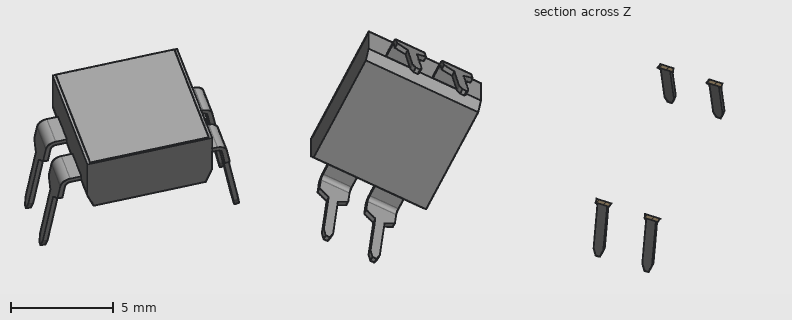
import cadquery as cq
import math


overall_length = 10.09
overall_height = 7.18

body_width = 6.12
body_length = 6.33
body_height = 3.09
taper_height = 0.83
taper_inset = 0.31

top_thickness = 0.06
top_inset_x = 0.04
top_inset_y = 0.15

lead_thickness = 0.25
lead_pitch = 2.54
lead_row_offset = -0.05
lead_drop = 2.03
lead_embed = 0.3
splay_deg = 9.8
bend_radius = 2 * lead_thickness

shoulder_width = 1.56
pin_width = 0.5
tip_width = 0.22

shoulder_end = 0.82
pin_start = 1.24
tip_taper = 0.47

splay = math.radians(splay_deg)
lead_top = body_height + top_thickness - lead_drop
tip_bottom = body_height + top_thickness - overall_height
leg_top_z = lead_top - bend_radius * (1 - math.sin(splay))
leg_height = leg_top_z - tip_bottom
leg_length = (leg_height - lead_thickness * math.sin(splay)) / math.cos(splay)
leg_top_y = -overall_length / 2 + leg_length * math.sin(splay)
bend_centre_y = leg_top_y + bend_radius * math.cos(splay)
bend_centre_z = lead_top - bend_radius


def make_body():
    half_length = body_length / 2
    base_half_length = half_length - taper_inset
    body = (
        cq.Workplane("YZ")
        .polyline([
            (-base_half_length, 0),
            (base_half_length, 0),
            (half_length, taper_height),
            (half_length, body_height),
            (-half_length, body_height),
            (-half_length, taper_height),
        ])
        .close()
        .extrude(body_width / 2, both=True)
    )
    raised_top = (
        cq.Workplane("XY", origin=(0, 0, body_height))
        .rect(body_width - 2 * top_inset_x, body_length - 2 * top_inset_y)
        .extrude(top_thickness)
    )
    return body.union(raised_top)


def bend_point(radius, angle):
    """Point (y, z) around the bend centre, with the angle measured from straight up towards -Y."""
    return (bend_centre_y - radius * math.sin(angle), bend_centre_z + radius * math.cos(angle))


def make_shoulder():
    """Horizontal strip leaving the body, with the bend that turns it downwards."""
    inner_radius = bend_radius - lead_thickness
    bend_angle = math.pi / 2 - splay
    embedded_end = -body_length / 2 + lead_embed
    return (
        cq.Workplane("YZ")
        .moveTo(embedded_end, lead_top)
        .lineTo(*bend_point(bend_radius, 0))
        .threePointArc(bend_point(bend_radius, bend_angle / 2), bend_point(bend_radius, bend_angle))
        .lineTo(*bend_point(inner_radius, bend_angle))
        .threePointArc(bend_point(inner_radius, bend_angle / 2), bend_point(inner_radius, 0))
        .lineTo(embedded_end, lead_top - lead_thickness)
        .close()
        .extrude(shoulder_width / 2, both=True)
    )


def make_leg():
    """Flat splayed leg that narrows from the shoulder to the pin, then to its tip."""
    outer_face = cq.Plane(
        origin=(0, leg_top_y, leg_top_z),
        xDir=(1, 0, 0),
        normal=(0, -math.cos(splay), math.sin(splay)),
    )
    right_edge = [
        (shoulder_width / 2, 0),
        (shoulder_width / 2, -shoulder_end),
        (pin_width / 2, -pin_start),
        (pin_width / 2, tip_taper - leg_length),
        (tip_width / 2, -leg_length),
    ]
    left_edge = [(-x, y) for x, y in reversed(right_edge)]
    return cq.Workplane(outer_face).polyline(right_edge + left_edge).close().extrude(-lead_thickness)


result = make_body()
front_lead = make_shoulder().union(make_leg())
back_lead = front_lead.mirror("XZ")
for side in (-1, 1):
    lead_x = lead_row_offset + side * lead_pitch / 2
    for lead in (front_lead, back_lead):
        result = result.union(lead.translate((lead_x, 0, 0)))